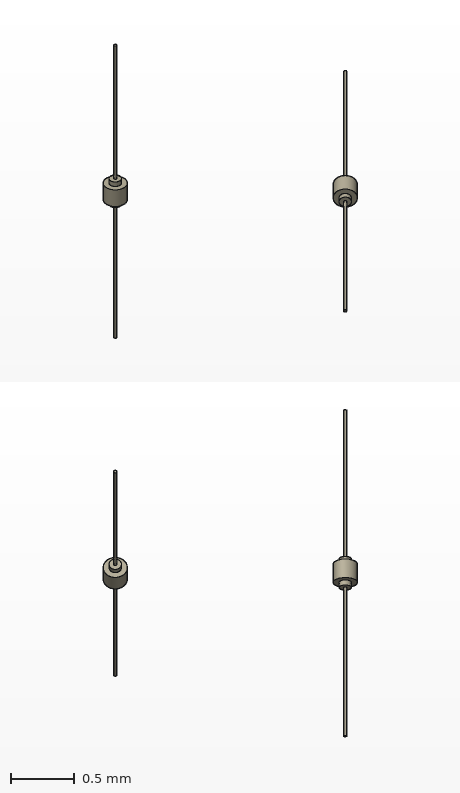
import cadquery as cq

wire_length = 2.81
wire_diameter = 0.025
collar_span = 0.247
collar_diameter = 0.098
body_height = 0.16
body_diameter = 0.19


def centred_cylinder(diameter, height):
    """Cylinder along Z, centred on the origin."""
    return cq.Workplane("XY").cylinder(height, diameter / 2)


wire = centred_cylinder(wire_diameter, wire_length)

collars = centred_cylinder(collar_diameter, collar_span)

body = centred_cylinder(body_diameter, body_height)

result = body.union(collars).union(wire)